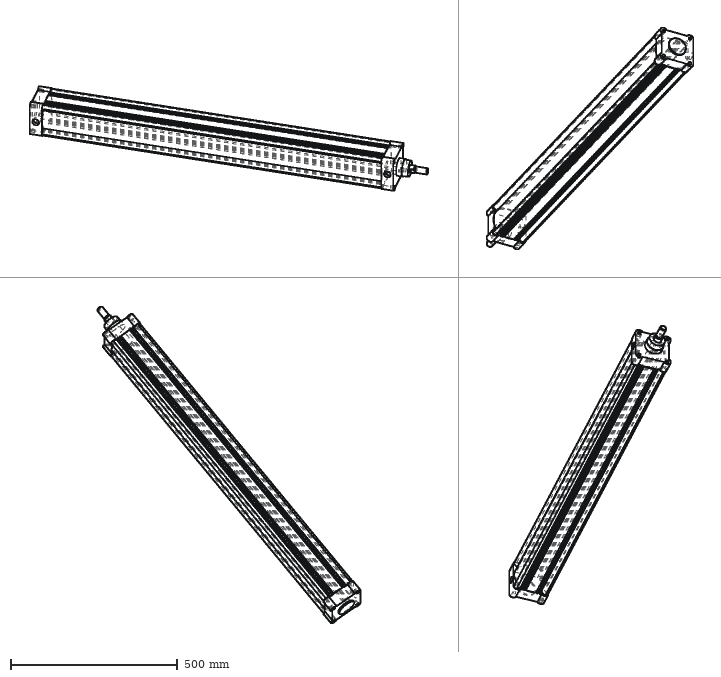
import cadquery as cq
import math


total_length = 1233.0
cap_length = 38.0
rear_boss_length = 5.0
barrel_length = 1060.0
collar_length = 17.0
nose_length = 18.0
rear_cap_start = rear_boss_length
barrel_start = rear_cap_start + cap_length
front_cap_start = barrel_start + barrel_length
front_cap_end = front_cap_start + cap_length
nose_start = front_cap_end + collar_length
nose_end = nose_start + nose_length

cap_width = 112.0
cap_half_width = cap_width / 2
bolt_offset = 45.0
corner_radius = cap_half_width - bolt_offset
recessed_half_width = 50.0
bolt_hole_radius = 4.3
bolt_hole_depth = 12.0

rear_boss_radius = 28.0
collar_radius = 27.0
nose_base_radius = 26.0
nose_tip_radius = 25.0
port_radius = 10.5
port_depth = 12.0
port_height = 5.0

barrel_radius = 53.0
lobe_half_width = 54.0
lobe_round_radius = 9.0
lobe_arc_center = lobe_half_width - lobe_round_radius
valley_offset = 32.0
valley_height = 42.0
slot_inner = 21.0
slot_outer = 28.0
slot_floor = 46.0
lip_top = 53.0
lip_inner_foot = 16.0
lip_outer_foot = 30.0
lip_outer_height = 49.0
lip_base = 40.0

rod_radius = 12.0
shoulder_chamfer = 4.0
thread_radius = 10.0
thread_length = 37.0
thread_chamfer = 2.0
rod_shoulder = total_length - thread_length
flat_half_width = 11.0
flats_gap = 5.0
flats_start = nose_end + flats_gap

corner_signs = [(1, 1), (1, -1), (-1, 1), (-1, -1)]


def section_at(x):
    """Sketch plane across the axis: local x is +Y, local y is +Z, extruding toward +X."""
    return cq.Workplane("YZ", origin=(x, 0, 0))


def axial_cylinder(x_start, x_end, radius):
    return section_at(x_start).circle(radius).extrude(x_end - x_start)


def cap_slab(x_start, y_min, y_max, half_height):
    return (
        section_at(x_start)
        .center((y_min + y_max) / 2, 0)
        .rect(y_max - y_min, 2 * half_height)
        .extrude(cap_length)
    )


def cap_block(x_start):
    """Square cap with round bolt corners, recessed on every side except the flat port side (-Y)."""
    core = cap_slab(x_start, -bolt_offset, recessed_half_width, recessed_half_width)
    port_side = cap_slab(x_start, -cap_half_width, 0, bolt_offset)
    corners = (
        section_at(x_start)
        .rect(2 * bolt_offset, 2 * bolt_offset, forConstruction=True)
        .vertices()
        .circle(corner_radius)
        .extrude(cap_length)
    )
    return core.union(port_side).union(corners)


def bolt_holes(x_start):
    return (
        section_at(x_start)
        .rect(2 * bolt_offset, 2 * bolt_offset, forConstruction=True)
        .vertices()
        .circle(bolt_hole_radius)
        .extrude(bolt_hole_depth)
    )


def port_hole(x_start, height):
    """Blind air port entering the flat side of a cap."""
    direction = cq.Vector(0, 1, 0)
    mouth = cq.Vector(x_start + cap_length / 2, -cap_half_width, height)
    return cq.Workplane(cq.Solid.makeCylinder(port_radius, port_depth, mouth, direction))


def make_rear_cap():
    boss = axial_cylinder(0, rear_cap_start, rear_boss_radius)
    cap = cap_block(rear_cap_start).union(boss)
    return cap.cut(bolt_holes(rear_cap_start)).cut(port_hole(rear_cap_start, -port_height))


def make_front_cap():
    collar = axial_cylinder(front_cap_end, nose_start, collar_radius)
    nose = cq.Workplane(cq.Solid.makeCone(
        nose_base_radius, nose_tip_radius, nose_length, cq.Vector(nose_start, 0, 0), cq.Vector(1, 0, 0)
    ))
    cap = cap_block(front_cap_start).union(collar).union(nose)
    rod_bore = axial_cylinder(front_cap_start, nose_end, rod_radius)
    bolt_hole_start = front_cap_end - bolt_hole_depth
    return cap.cut(rod_bore).cut(bolt_holes(bolt_hole_start)).cut(port_hole(front_cap_start, port_height))


def corner_lobe(y_sign, z_sign):
    """Rounded corner rib of the barrel, with flanks sloping down to the tube."""
    arc_middle = lobe_arc_center + lobe_round_radius * math.sqrt(0.5)

    def place(y, z):
        return (y_sign * y, z_sign * z)

    return (
        section_at(barrel_start)
        .polyline([
            place(lobe_half_width, lobe_arc_center),
            place(valley_height, valley_offset),
            place(0, 0),
            place(valley_offset, valley_height),
            place(lobe_arc_center, lobe_half_width),
        ])
        .threePointArc(place(arc_middle, arc_middle), place(lobe_half_width, lobe_arc_center))
        .close()
        .extrude(barrel_length)
    )


def slot_lips(y_sign, z_sign):
    """Raised pair of lips around a sensor slot, before the slot is cut."""
    outline = [
        (lip_inner_foot, lip_base),
        (lip_inner_foot, math.sqrt(barrel_radius**2 - lip_inner_foot**2)),
        (slot_inner, lip_top),
        (slot_outer, lip_top),
        (lip_outer_foot, lip_outer_height),
        (lip_outer_foot, lip_base),
    ]
    placed = [(y_sign * y, z_sign * z) for y, z in outline]
    return section_at(barrel_start).polyline(placed).close().extrude(barrel_length)


def sensor_slot(y_sign, z_sign):
    return (
        section_at(barrel_start)
        .center(y_sign * (slot_inner + slot_outer) / 2, z_sign * (slot_floor + lip_top) / 2)
        .rect(slot_outer - slot_inner, lip_top - slot_floor)
        .extrude(barrel_length)
    )


def make_barrel():
    barrel = axial_cylinder(barrel_start, front_cap_start, barrel_radius)
    for y_sign, z_sign in corner_signs:
        barrel = barrel.union(corner_lobe(y_sign, z_sign)).union(slot_lips(y_sign, z_sign))
    for y_sign, z_sign in corner_signs:
        barrel = barrel.cut(sensor_slot(y_sign, z_sign))
    return barrel


def make_piston_rod():
    """Rod through the front cap, with two wrench flats and a threaded end."""
    shank = axial_cylinder(front_cap_start, rod_shoulder, rod_radius)
    shank = shank.faces(">X").chamfer(shoulder_chamfer, rod_radius - thread_radius)
    thread = axial_cylinder(rod_shoulder, total_length, thread_radius).faces(">X").chamfer(thread_chamfer)
    rod = shank.union(thread)
    flats_length = rod_shoulder - flats_start
    for side in (1, -1):
        flat_cut = cq.Workplane("XY").box(
            flats_length, rod_radius, 2 * rod_radius, centered=(False, True, True)
        )
        rod = rod.cut(flat_cut.translate((flats_start, side * (flat_half_width + rod_radius / 2), 0)))
    return rod


rear_cap = make_rear_cap()
barrel = make_barrel()
front_cap = make_front_cap()
piston_rod = make_piston_rod()

result = cq.Compound.makeCompound([
    rear_cap.val(),
    barrel.val(),
    front_cap.val(),
    piston_rod.val(),
])